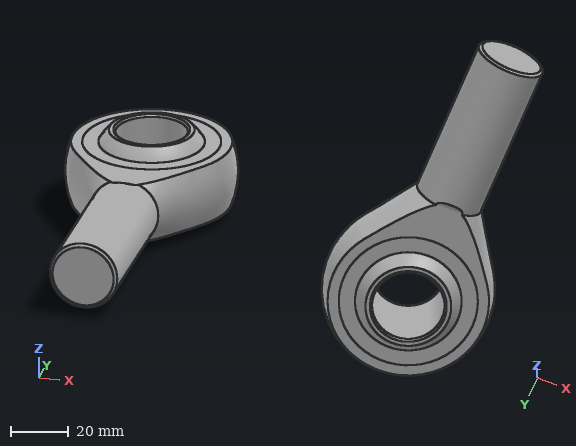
import cadquery as cq
import math

head_radius = 30.0
head_thickness = 21.9
shank_radius = 12.0
shank_end_y = -93.9
neck_end_y = -37.0
runout_radius = 3.0
end_chamfer_length = 0.7
end_chamfer_depth = 1.1
race_radius = 24.0
ball_radius = 21.5
ball_width = 31.0
bore_radius = 12.5
bore_chamfer = 0.7

half_thickness = head_thickness / 2

neck_end_distance = math.hypot(neck_end_y, shank_radius)
tangent_angle = math.atan2(shank_radius, -neck_end_y) + math.acos(head_radius / neck_end_distance)
tangent_radius = head_radius * math.sin(tangent_angle)
tangent_y = -head_radius * math.cos(tangent_angle)


def make_flat_cutter():
    """Block above the upper flat face, with a rounded lower corner at the shank."""
    rise = shank_radius - half_thickness
    runout_length = math.sqrt(2 * runout_radius * rise - rise**2)
    mid_angle = math.asin(runout_length / runout_radius) / 2
    arc_mid = (
        neck_end_y - runout_radius * math.sin(mid_angle),
        half_thickness + runout_radius * (1 - math.cos(mid_angle)),
    )
    return (
        cq.Workplane("YZ")
        .moveTo(head_radius, half_thickness)
        .lineTo(neck_end_y, half_thickness)
        .threePointArc(arc_mid, (neck_end_y - runout_length, shank_radius))
        .lineTo(neck_end_y - runout_length, head_radius)
        .lineTo(head_radius, head_radius)
        .close()
        .extrude(head_radius, both=True)
    )


def make_housing():
    """Spherical eye, conical neck and round shank, flattened on both faces of the eye."""
    blank = (
        cq.Workplane("XY")
        .moveTo(0, head_radius)
        .threePointArc((head_radius, 0), (tangent_radius, tangent_y))
        .lineTo(shank_radius, neck_end_y)
        .lineTo(shank_radius, shank_end_y + end_chamfer_length)
        .lineTo(shank_radius - end_chamfer_depth, shank_end_y)
        .lineTo(0, shank_end_y)
        .close()
        .revolve(360, (0, 0, 0), (0, 1, 0))
    )
    upper_cutter = make_flat_cutter()
    lower_cutter = upper_cutter.mirror("XY")
    race_seat = cq.Workplane("XY").circle(race_radius).extrude(half_thickness, both=True)
    return blank.cut(upper_cutter).cut(lower_cutter).cut(race_seat)


def make_race():
    """Ring flush with the flat faces, with a spherical seat for the ball."""
    ring = cq.Workplane("XY").circle(race_radius).extrude(half_thickness, both=True)
    return ring.cut(cq.Workplane("XY").sphere(ball_radius))


def make_ball():
    """Truncated sphere with a chamfered through bore."""
    half_width = ball_width / 2
    face_radius = math.sqrt(ball_radius**2 - half_width**2)
    return (
        cq.Workplane("XZ")
        .moveTo(bore_radius + bore_chamfer, half_width)
        .lineTo(face_radius, half_width)
        .threePointArc((ball_radius, 0), (face_radius, -half_width))
        .lineTo(bore_radius + bore_chamfer, -half_width)
        .lineTo(bore_radius, -half_width + bore_chamfer)
        .lineTo(bore_radius, half_width - bore_chamfer)
        .close()
        .revolve(360, (0, 0, 0), (0, 1, 0))
    )


housing = make_housing()
race = make_race()
ball = make_ball()

result = cq.Compound.makeCompound([body.solids().val() for body in (housing, race, ball)])